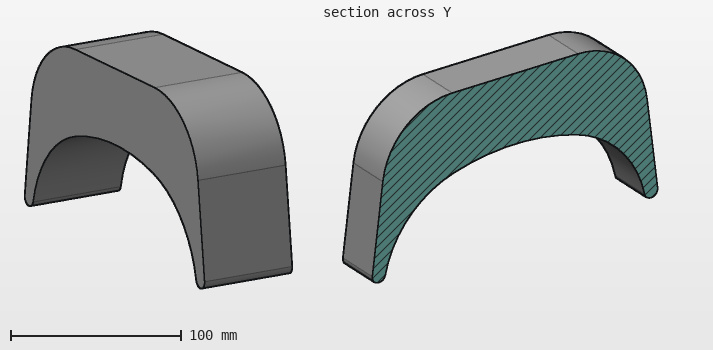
import cadquery as cq
import math

width = 204.3
depth = 60.0
height = 109.5

flat_half_width = 45.0
shoulder_radius = 50.0
tip_radius = 5.0

crown_height = 63.0
crown_radius = 153.2
flank_radius = 70.0


def point_on(center, radius, angle):
    """Point on a circle, with the angle measured from +X towards +Z."""
    return (center[0] + radius * math.cos(angle), center[1] + radius * math.sin(angle))


def mirrored(point):
    return (-point[0], point[1])


shoulder_center = (flat_half_width, height - shoulder_radius)
tip_center = (width / 2 - tip_radius, tip_radius)
crown_center = (0, crown_height - crown_radius)

crown_to_flank = crown_radius - flank_radius
tip_to_flank = tip_radius + flank_radius
crown_to_tip = math.hypot(tip_center[0], tip_center[1] - crown_center[1])
tip_direction = math.atan2(tip_center[1] - crown_center[1], tip_center[0])
crown_corner_cosine = (crown_to_flank**2 + crown_to_tip**2 - tip_to_flank**2) / (
    2 * crown_to_flank * crown_to_tip
)
crown_end_angle = tip_direction + math.acos(crown_corner_cosine)
flank_center = point_on(crown_center, crown_to_flank, crown_end_angle)

run = tip_center[0] - shoulder_center[0]
drop = shoulder_center[1] - tip_center[1]
leg_normal = math.acos((shoulder_radius - tip_radius) / math.hypot(run, drop)) - math.atan2(drop, run)
shoulder_top = (flat_half_width, height)
shoulder_middle = point_on(shoulder_center, shoulder_radius, (leg_normal + math.pi / 2) / 2)
shoulder_end = point_on(shoulder_center, shoulder_radius, leg_normal)
leg_end = point_on(tip_center, tip_radius, leg_normal)
tip_bottom = (tip_center[0], 0)

flank_start_angle = math.atan2(tip_center[1] - flank_center[1], tip_center[0] - flank_center[0])
flank_start = point_on(flank_center, flank_radius, flank_start_angle)
flank_middle = point_on(flank_center, flank_radius, (flank_start_angle + crown_end_angle) / 2)
crown_end = point_on(crown_center, crown_radius, crown_end_angle)

profile = (
    cq.Workplane("XZ")
    .moveTo(*mirrored(shoulder_top))
    .lineTo(*shoulder_top)
    .threePointArc(shoulder_middle, shoulder_end)
    .lineTo(*leg_end)
    .threePointArc(tip_bottom, flank_start)
    .threePointArc(flank_middle, crown_end)
    .threePointArc((0, crown_height), mirrored(crown_end))
    .threePointArc(mirrored(flank_middle), mirrored(flank_start))
    .threePointArc(mirrored(tip_bottom), mirrored(leg_end))
    .lineTo(*mirrored(shoulder_end))
    .threePointArc(mirrored(shoulder_middle), mirrored(shoulder_top))
    .close()
)

result = profile.extrude(depth / 2, both=True)